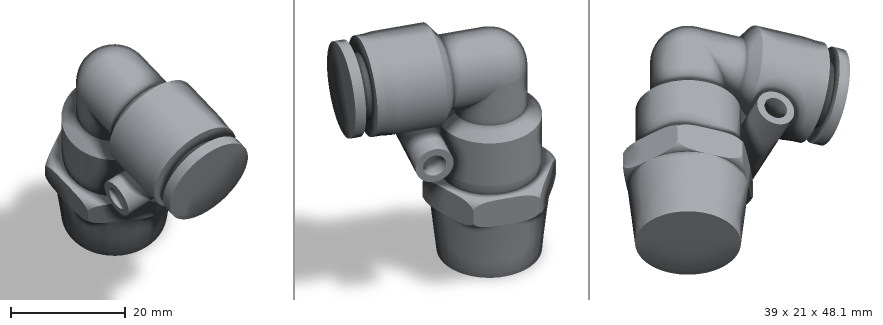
import cadquery as cq
import math

hex_bottom = 12.0
hex_top = 17.5
stem_collar_top = 19.45
stem_shoulder = 28.5
stem_cone_top = 30.55
outlet_height = 38.9

outlet_cone_start = 8.35
outlet_shoulder = 10.4
outlet_band_start = 19.5
outlet_band_end = 21.5
outlet_end = 23.0
flange_start = 24.95
flange_end = 26.9

thread_tip_radius = 18.4 / 2
hex_flats = 21.0
thread_root_radius = hex_flats / 2
tube_radius = 6.65
body_radius = 18.37 / 2
stem_collar_radius = 18.0 / 2
outlet_end_radius = 18.0 / 2
neck_radius = 12.0 / 2
flange_radius = 17.2 / 2

corner_round = 1.7

eyelet_x = 12.75
eyelet_z = 26.25
eyelet_diameter = 6.9
eyelet_bore = 4.2
eyelet_length = 18.7
web_thickness = 2.0


def revolve_about_z(profile):
    """Turn a closed (radius, height) outline about the Z axis."""
    return cq.Workplane("XZ").polyline(profile).close().revolve(360, (0, 0, 0), (0, 1, 0))


def make_stem():
    """Tapered thread blank, main body and shoulder up to the elbow."""
    return revolve_about_z([
        (0, 0),
        (thread_tip_radius, 0),
        (thread_root_radius, hex_bottom),
        (stem_collar_radius, hex_bottom),
        (stem_collar_radius, hex_top),
        (body_radius, stem_collar_top),
        (body_radius, stem_shoulder),
        (tube_radius, stem_cone_top),
        (tube_radius, outlet_height),
        (0, outlet_height),
    ])


def make_hex():
    """Wrench hexagon with corners on X, its corners turned to a rounded rim."""
    corner_diameter = hex_flats / math.cos(math.pi / 6)
    height = hex_top - hex_bottom
    base = cq.Workplane("XY").workplane(offset=hex_bottom)
    rim = base.circle(corner_diameter / 2).extrude(height).edges().fillet(corner_round)
    return base.polygon(6, corner_diameter).extrude(height).intersect(rim)


def make_outlet():
    """Horizontal tube, push-in body, neck and release flange along +X."""
    outlet = revolve_about_z([
        (0, 0),
        (tube_radius, 0),
        (tube_radius, outlet_cone_start),
        (body_radius, outlet_shoulder),
        (body_radius, outlet_band_start),
        (outlet_end_radius, outlet_band_end),
        (outlet_end_radius, outlet_end),
        (neck_radius, outlet_end),
        (neck_radius, flange_start),
        (flange_radius, flange_start),
        (flange_radius, flange_end),
        (0, flange_end),
    ])
    return outlet.rotate((0, 0, 0), (0, 1, 0), 90).translate((0, 0, outlet_height))


def eyelet_cylinder(diameter):
    """Cylinder along Y, centred on the eyelet axis."""
    section = cq.Workplane("XZ").center(eyelet_x, eyelet_z).circle(diameter / 2)
    return section.extrude(eyelet_length / 2, both=True)


def make_web():
    """Flat web filling the inside corner between stem, outlet and eyelet."""
    corners = [
        (0, outlet_height),
        (0, eyelet_z),
        (eyelet_x, eyelet_z),
        (eyelet_x, outlet_height),
    ]
    return cq.Workplane("XZ").polyline(corners).close().extrude(web_thickness / 2, both=True)


elbow = cq.Workplane("XY").sphere(tube_radius).translate((0, 0, outlet_height))
result = (
    make_stem()
    .union(make_hex())
    .union(elbow)
    .union(make_outlet())
    .union(make_web())
    .union(eyelet_cylinder(eyelet_diameter))
    .cut(eyelet_cylinder(eyelet_bore))
)